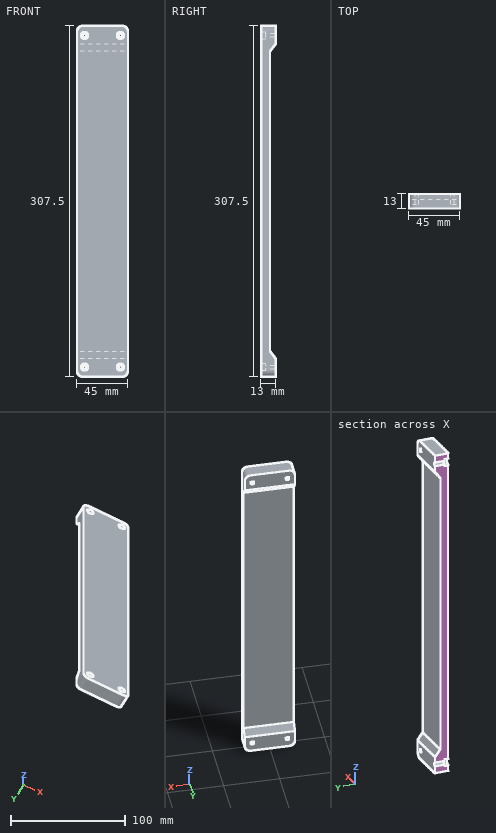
import cadquery as cq

width = 45.0
depth = 13.0
height = 307.5
corner_radius = 5.5

plate_thickness = 8.0
foot_height = 16.0
recess_depth = depth - plate_thickness
ramp_height = 6.5

hole_side_inset = 6.8
hole_end_inset = 8.5
hole_diameter = 3.0
counterbore_diameter = 6.0
counterbore_depth = 3.7

front_y = -depth / 2
back_y = depth / 2


def make_block():
    """Rounded slab centred on the origin, its front face toward -Y."""
    block = cq.Workplane("XY").box(width, depth, height)
    return block.edges("|Y").fillet(corner_radius)


def make_recess():
    """Full-width trapezoidal cut between the two feet."""
    opening_z = height / 2 - foot_height
    floor_z = opening_z - ramp_height
    floor_y = back_y - recess_depth
    outline = [
        (back_y, -opening_z),
        (floor_y, -floor_z),
        (floor_y, floor_z),
        (back_y, opening_z),
    ]
    return cq.Workplane("YZ").polyline(outline).close().extrude(width / 2, both=True)


def drill_corner_holes(body):
    """Drill a counterbored through hole from the front near each corner."""
    spacing_x = width - 2 * hole_side_inset
    spacing_z = height - 2 * hole_end_inset
    front_plane = cq.Workplane("XZ", origin=(0, front_y, 0))
    centres = front_plane.rect(spacing_x, spacing_z, forConstruction=True).vertices()
    through_holes = centres.circle(hole_diameter / 2).extrude(-depth)
    counterbores = centres.circle(counterbore_diameter / 2).extrude(-counterbore_depth)
    return body.cut(through_holes).cut(counterbores)


result = drill_corner_holes(make_block().cut(make_recess()))